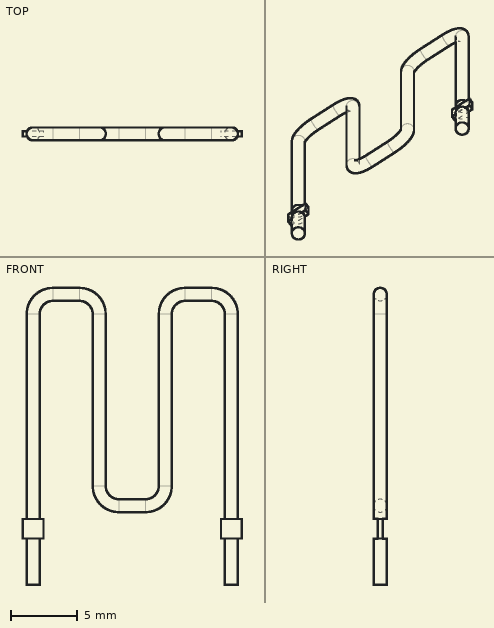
import cadquery as cq

wire_diameter = 1.0
bend_radius = 1.5
column_pitch = 5.0
total_height = 22.5
lower_loop_bottom = 5.5

stop_width = 1.6
stop_thickness = 0.4
stop_height = 1.5
stop_bottom = 3.5

wire_radius = wire_diameter / 2
outer_x = 1.5 * column_pitch
inner_x = 0.5 * column_pitch
upper_z = total_height - wire_radius
lower_z = lower_loop_bottom + wire_radius
stop_top = stop_bottom + stop_height


def add_bend_pair(path, start_x, end_x, level_z, vertical_sign):
    """Extend the path up (+1) or down (-1), across at level_z, and back round."""
    tangent_z = level_z - vertical_sign * bend_radius
    bend_sagitta = bend_radius * (1 - 0.5 ** 0.5)
    middle_z = level_z - vertical_sign * bend_sagitta
    return (
        path.lineTo(start_x, tangent_z)
        .threePointArc((start_x + bend_sagitta, middle_z), (start_x + bend_radius, level_z))
        .lineTo(end_x - bend_radius, level_z)
        .threePointArc((end_x - bend_sagitta, middle_z), (end_x, tangent_z))
    )


def make_serpentine():
    """Round wire bent into an M, running from stop to stop."""
    path = cq.Workplane("XZ").moveTo(-outer_x, stop_top)
    path = add_bend_pair(path, -outer_x, -inner_x, upper_z, 1)
    path = add_bend_pair(path, -inner_x, inner_x, lower_z, -1)
    path = add_bend_pair(path, inner_x, outer_x, upper_z, 1)
    path = path.lineTo(outer_x, stop_top)
    section = cq.Workplane("XY", origin=(-outer_x, 0, stop_top)).circle(wire_radius)
    return section.sweep(path)


def make_leg_end(leg_x):
    """Flattened stop with the straight round pin below it."""
    pin = cq.Workplane("XY").center(leg_x, 0).circle(wire_radius).extrude(stop_bottom)
    stop = (
        cq.Workplane("XY", origin=(leg_x, 0, stop_bottom))
        .rect(stop_width, stop_thickness)
        .extrude(stop_height)
    )
    return pin.union(stop)


result = make_serpentine()
for leg_x in (-outer_x, outer_x):
    result = result.union(make_leg_end(leg_x))